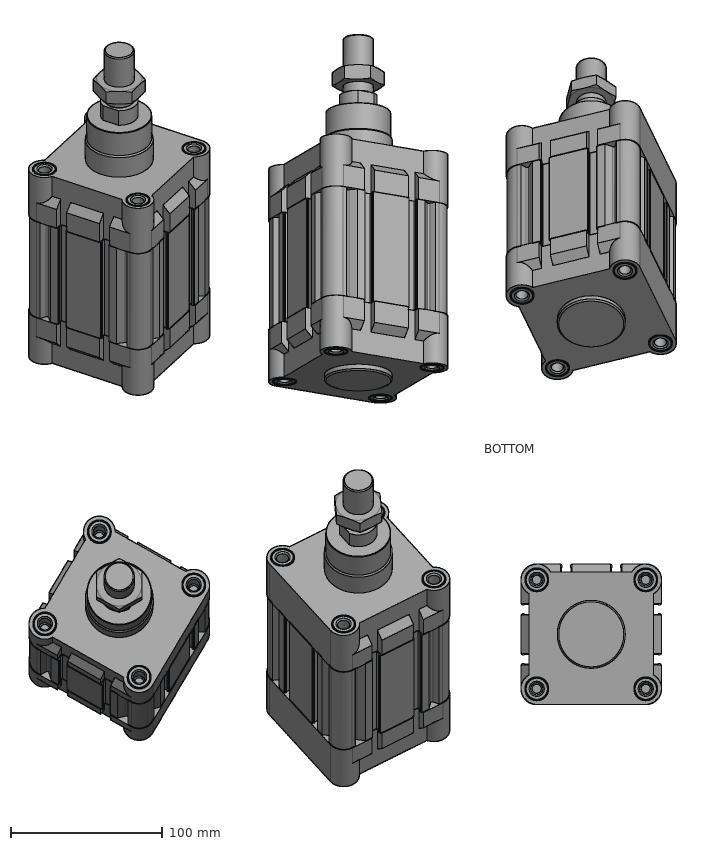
import cadquery as cq
import math


housing_length = 148.0
cap_length = 36.0
barrel_length = housing_length - 2 * cap_length

cap_width = 93.0
bolt_spacing = 72.0
cap_core_width = 82.5
cap_post_radius = (cap_width - bolt_spacing) / 2
pad_depth = (cap_width - cap_core_width) / 2
pad_length = 15.0

barrel_width = 92.0
barrel_post_radius = (barrel_width - bolt_spacing) / 2
slot_offset = 16.5
pad_slot_width = 7.8
slot_mouth_width = 5.5
slot_mouth_chamfer = 0.5
slot_inner_width = 6.5
slot_lip_thickness = 1.7
slot_floor = 41.0
groove_inner = 25.3
groove_outer = 33.4
groove_inner_angle = 45.0
groove_outer_angle = 59.0
groove_fillet = 1.1

collar_diameter = 45.0
rear_collar_length = 4.0
neck_diameter = 43.0
front_collar_length = 16.5
neck_length = 34.5
collar_chamfer = (collar_diameter - neck_diameter) / 2
neck_edge_chamfer = 0.4

insert_bore = 15.8
insert_diameter = 15.0
insert_edge_chamfer = 0.5
insert_gap_depth = 1.0
insert_hole_diameter = 8.0
insert_hole_mouth = 10.0
insert_floor_diameter = 6.0
insert_hole_depth = 16.0

rod_diameter = 25.0
rod_flats = 22.0
rod_shoulder = 46.0
thread_diameter = 20.0
thread_core_diameter = 18.38
thread_length = 40.0
thread_chamfer = (thread_diameter - thread_core_diameter) / 2

nut_flats = 30.0
nut_height = 10.0
nut_base = 53.0
nut_face_diameter = 30.0
nut_chamfer_angle = 15.0

quarter_turns = (0, 90, 180, 270)
padded_side_turns = (-90, 0, 90)


def disc(diameter, height, base=0.0):
    return cq.Workplane("XY", origin=(0, 0, base)).circle(diameter / 2).extrude(height)


def square_with_posts(width, post_radius, height):
    core = cq.Workplane("XY").rect(width, width).extrude(height)
    posts = (
        cq.Workplane("XY")
        .rect(bolt_spacing, bolt_spacing, forConstruction=True)
        .vertices()
        .circle(post_radius)
        .extrude(height)
    )
    return core.union(posts)


def turned(shape, angle):
    return shape.rotate((0, 0, 0), (0, 0, 1), angle)


def pads():
    """Three sloped-end pads on the -Y side of a cap, with the barrel end at the cap's top."""
    core_face = -cap_core_width / 2
    pad_face = -cap_width / 2
    slope_start = cap_length - pad_length
    strip = (
        cq.Workplane("YZ", origin=(-bolt_spacing / 2, 0, 0))
        .moveTo(core_face, cap_length)
        .lineTo(pad_face, cap_length)
        .lineTo(pad_face, slope_start)
        .lineTo(core_face, slope_start - pad_depth)
        .close()
        .extrude(bolt_spacing)
    )
    slots = (
        cq.Workplane("XY")
        .pushPoints([(-slot_offset, pad_face), (slot_offset, pad_face)])
        .rect(pad_slot_width, 2 * pad_depth)
        .extrude(cap_length)
    )
    return strip.cut(slots)


def insert_cut():
    """Hole and edge groove of one threaded insert, opening at Z = 0 and going up."""
    floor_chamfer = (insert_hole_diameter - insert_floor_diameter) / 2
    mouth_depth = (insert_hole_mouth - insert_hole_diameter) / 2
    hole = (
        cq.Workplane("XZ")
        .moveTo(0, 0)
        .lineTo(insert_hole_mouth / 2, 0)
        .lineTo(insert_hole_diameter / 2, mouth_depth)
        .lineTo(insert_hole_diameter / 2, insert_hole_depth - floor_chamfer)
        .lineTo(insert_floor_diameter / 2, insert_hole_depth)
        .lineTo(0, insert_hole_depth)
        .close()
        .revolve(axisStart=(0, 0), axisEnd=(0, 1))
    )
    edge_groove = (
        cq.Workplane("XZ")
        .moveTo(insert_diameter / 2 - insert_edge_chamfer, 0)
        .lineTo(insert_bore / 2, 0)
        .lineTo(insert_bore / 2, insert_gap_depth)
        .lineTo(insert_diameter / 2, insert_gap_depth)
        .lineTo(insert_diameter / 2, insert_edge_chamfer)
        .close()
        .revolve(axisStart=(0, 0), axisEnd=(0, 1))
    )
    return hole.union(edge_groove)


def make_cap():
    """End cap with its outer face at Z = 0 and the barrel end at the top; the +Y side is plain."""
    cap = square_with_posts(cap_core_width, cap_post_radius, cap_length)
    plain_side = (
        cq.Workplane("XY")
        .center(0, bolt_spacing / 2 + cap_post_radius / 2)
        .rect(bolt_spacing, cap_post_radius)
        .extrude(cap_length)
    )
    cap = cap.union(plain_side)
    for angle in padded_side_turns:
        cap = cap.union(turned(pads(), angle))
    for x in (-bolt_spacing / 2, bolt_spacing / 2):
        for y in (-bolt_spacing / 2, bolt_spacing / 2):
            cap = cap.cut(insert_cut().translate((x, y, 0)))
    return cap


def t_slot(x):
    """T-slot with a chamfered mouth along the -Y side of the barrel."""
    face = -barrel_width / 2
    lip = face + slot_lip_thickness
    half_mouth = slot_mouth_width / 2
    half_inner = slot_inner_width / 2
    outline = [
        (-half_mouth - slot_mouth_chamfer, face),
        (-half_mouth, face + slot_mouth_chamfer),
        (-half_mouth, lip),
        (-half_inner, lip),
        (-half_inner, -slot_floor),
        (half_inner, -slot_floor),
        (half_inner, lip),
        (half_mouth, lip),
        (half_mouth, face + slot_mouth_chamfer),
        (half_mouth + slot_mouth_chamfer, face),
    ]
    return cq.Workplane("XY", origin=(x, 0, 0)).polyline(outline).close().extrude(barrel_length)


def v_groove():
    """V-groove with a rounded root at the +X end of the barrel's -Y side."""
    face = -barrel_width / 2
    inner_slope = math.tan(math.radians(groove_inner_angle))
    outer_slope = math.tan(math.radians(groove_outer_angle))
    depth = (groove_outer - groove_inner) / (1 / inner_slope + 1 / outer_slope)
    root = (groove_inner + depth / inner_slope, face + depth)
    return (
        cq.Workplane("XY")
        .polyline([(groove_inner, face), (groove_outer, face), root])
        .close()
        .extrude(barrel_length)
        .edges(cq.selectors.NearestToPointSelector((*root, barrel_length / 2)))
        .fillet(groove_fillet)
    )


def make_barrel():
    barrel = (
        cq.Workplane("XY")
        .rect(barrel_width, barrel_width)
        .extrude(barrel_length)
        .edges("|Z")
        .fillet(barrel_post_radius)
    )
    side_cuts = (t_slot(-slot_offset), t_slot(slot_offset), v_groove(), v_groove().mirror("YZ"))
    for angle in quarter_turns:
        for side_cut in side_cuts:
            barrel = barrel.cut(turned(side_cut, angle))
    return barrel


def make_housing():
    rear_cap = make_cap()
    front_cap = rear_cap.mirror("XY").translate((0, 0, housing_length))
    barrel = make_barrel().translate((0, 0, cap_length))
    rear_collar = disc(collar_diameter, rear_collar_length, -rear_collar_length)
    rear_collar = rear_collar.faces("<Z").chamfer(collar_chamfer)
    front_collar = disc(collar_diameter, front_collar_length, housing_length)
    front_collar = front_collar.faces(">Z").chamfer(collar_chamfer)
    neck = disc(neck_diameter, neck_length, housing_length).faces(">Z").chamfer(neck_edge_chamfer)
    housing = barrel.union(rear_cap).union(front_cap)
    return housing.union(rear_collar).union(front_collar).union(neck).solids()


def make_rod():
    """Rod standing on the neck: a shank with two wrench flats, then the thread."""
    shank_base = housing_length + neck_length
    shank_length = rod_shoulder - neck_length
    shank = disc(rod_diameter, shank_length, shank_base)
    flats = (
        cq.Workplane("XY", origin=(0, 0, shank_base))
        .rect(rod_diameter, rod_flats)
        .extrude(shank_length)
    )
    thread = disc(thread_diameter, thread_length, shank_base + shank_length)
    thread = thread.faces("<Z or >Z").chamfer(thread_chamfer)
    return shank.intersect(flats).union(thread).solids()


def make_nut():
    """Hexagon nut with flats facing X and conical chamfers on both faces."""
    corner_diameter = nut_flats / math.cos(math.radians(30))
    chamfer_width = (corner_diameter - nut_face_diameter) / 2
    chamfer_height = chamfer_width * math.tan(math.radians(nut_chamfer_angle))
    hexagon = cq.Workplane("XY").polygon(6, corner_diameter).extrude(nut_height)
    hexagon = turned(hexagon, 90)
    envelope = disc(corner_diameter, nut_height).faces("<Z or >Z").chamfer(chamfer_height, chamfer_width)
    bore = disc(thread_diameter, nut_height)
    nut = hexagon.intersect(envelope).cut(bore)
    return nut.translate((0, 0, housing_length + nut_base)).solids()


housing = make_housing()
piston_rod = make_rod()
lock_nut = make_nut()

result = cq.Compound.makeCompound([housing.val(), piston_rod.val(), lock_nut.val()])